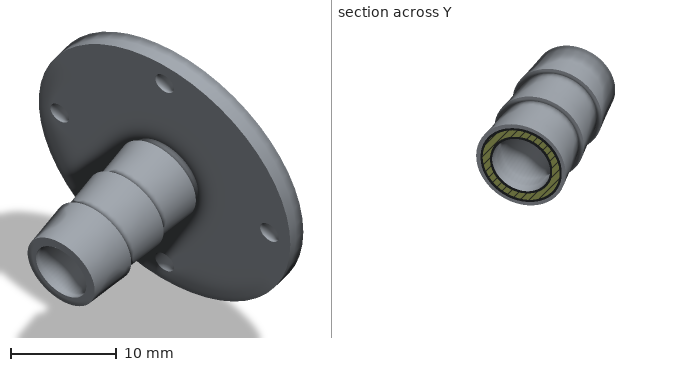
import cadquery as cq

flange_diameter = 30.0
flange_thickness = 2.0
total_length = 18.0
neck_length = 1.0
stem_diameter = 8.0
barb_diameter = 9.0
barb_count = 3
bore_diameter = 6.0
bolt_hole_diameter = 2.22
bolt_circle_diameter = 25.0
bolt_hole_count = 4

neck_end = flange_thickness + neck_length
barb_length = (total_length - neck_end) / barb_count


def cylinder(diameter, start, length):
    """Cylinder along -Y that begins at the given distance from the flange back."""
    return cq.Workplane("XZ", origin=(0, -start, 0)).circle(diameter / 2).extrude(length)


def barb(start):
    """Cone with its wide shoulder facing the flange, tapering to the stem diameter."""
    return (
        cq.Workplane("XZ", origin=(0, -start, 0))
        .circle(barb_diameter / 2)
        .workplane(offset=barb_length)
        .circle(stem_diameter / 2)
        .loft(ruled=True)
    )


body = cylinder(flange_diameter, 0, flange_thickness)
body = body.union(cylinder(stem_diameter, flange_thickness, neck_length))

for index in range(barb_count):
    body = body.union(barb(neck_end + index * barb_length))

body = body.cut(cylinder(bore_diameter, 0, total_length))

bolt_holes = (
    cq.Workplane("XZ")
    .polarArray(bolt_circle_diameter / 2, 0, 360, bolt_hole_count)
    .circle(bolt_hole_diameter / 2)
    .extrude(flange_thickness)
)

result = body.cut(bolt_holes)